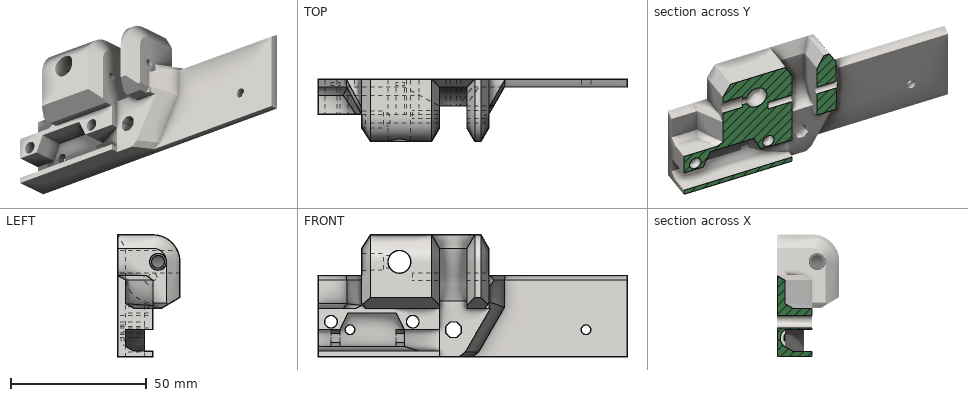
import cadquery as cq
import math


total_length = 113.8
total_depth = 23.0
total_height = 45.0
slope = math.tan(math.radians(30))

plate_thickness = 3.0
plate_height = 30.0
bevel_run = 3.0
bevel_rise = bevel_run * slope
plate_shoulder = plate_height - bevel_rise

rail_length = 44.7
rail_depth = 13.0
lip_height = 2.1
ledge_bottom = 10.0
ledge_top = 17.9
ramp_start = 31.8
mount_depth = 10.0

ear_radius = 10.0
rim_depth = 5.0
rim_width = 2.9
left_rim_width = 3.25
block_left = 16.0
block_right = rail_length
lug_left = 54.75
lug_right = 62.8
ear_slope_run = 6.8
ear_slope_rise = 4.0
underside_bevel_rise = 2.0
underside_bevel_run = 1.4

gusset_depth = rail_depth
left_gusset_run = 5.45
right_gusset_run = 5.75
gusset_top_inset = 1.4
gusset_overlap = 3.0

foot_bottom_x = 13.9
foot_top_x = 17.4
foot_skew = 0.67

mount_bevel_height = 1.84
mount_bevel_run = 2.4
mount_bottom_x = 51.8
mount_lean = math.tan(math.radians(35))
relief_radius = 9.2

axle_y = -13.0
axle_z = 29.5
axle_diameter = 2.9
axle_depth_in_block = 10.0
axle_head_diameter = 6.6
bore_x = 29.9
bore_z = total_height - ear_radius
bore_diameter = 8.3
cross_bore_y = -14.9
cross_bore_diameter = 6.2
cross_bore_depth = 8.0
cross_core_diameter = 4.7

small_hole_diameter = 3.5
small_hole_xs = (11.7, 98.6)
ledge_hole_diameter = 4.55
ledge_hole_xs = (4.7, 34.8)
ledge_hole_z = 12.95
octagon_width = 5.65
octagon_x = 49.8
octagon_sides = 8
fixing_z = ledge_bottom

recess_bottom_left = 8.0
recess_bottom_right = ramp_start
recess_top_left = 10.95
recess_top_right = 28.7
recess_top = 16.1
tie_width = 3.2
tie_xs = (4.75, recess_bottom_right - tie_width)
tie_center_y = -5.0
tie_center_z = 6.9
tie_outer_radius = 3.7
tie_inner_radius = 2.6


def side_prism(points, x_start, x_end):
    """Extrude a (y, z) outline along X."""
    outline = cq.Workplane("YZ", origin=(x_start, 0, 0)).polyline(points).close()
    return outline.extrude(x_end - x_start)


def front_prism(points, y_front, y_back=0.0):
    """Extrude an (x, z) outline along Y."""
    outline = cq.Workplane("XZ", origin=(0, y_back, 0)).polyline(points).close()
    return outline.extrude(y_back - y_front)


def slab(x_range, y_range, z_range):
    """Box given by its limits along each axis."""
    sizes = [end - start for start, end in (x_range, y_range, z_range)]
    corner = (x_range[0], y_range[0], z_range[0])
    return cq.Workplane("XY").box(*sizes, centered=False).translate(corner)


def cylinder_x(diameter, x_start, x_end, y, z):
    circle = cq.Workplane("YZ", origin=(x_start, y, z)).circle(diameter / 2)
    return circle.extrude(x_end - x_start)


def cylinder_y(diameter, x, z):
    """Cylinder through the full depth of the part."""
    circle = cq.Workplane("XZ", origin=(x, 0, z)).circle(diameter / 2)
    return circle.extrude(total_depth)


def ruled_loft(first, second):
    """Straight-sided solid between two closed outlines."""
    return cq.Workplane(obj=cq.Solid.makeLoft([first.val(), second.val()], True))


def plan_outline(points, z):
    """Closed (x, y) outline at a given height."""
    return cq.Workplane("XY", origin=(0, 0, z)).polyline(points).close()


def back_plate():
    profile = [
        (0, 0),
        (-plate_thickness, 0),
        (-plate_thickness, plate_shoulder),
        (0, plate_height),
    ]
    return side_prism(profile, 0, total_length)


def rail():
    """Lip, slot and ledge in one profile, with the ramp that closes the slot."""
    toe = -plate_thickness - bevel_run
    profile = [
        (0, 0),
        (-rail_depth, 0),
        (-rail_depth, lip_height),
        (toe, lip_height),
        (-plate_thickness, lip_height + bevel_rise),
        (-plate_thickness, ledge_bottom),
        (-rail_depth, ledge_bottom),
        (-rail_depth, ledge_top),
        (toe, ledge_top),
        (-plate_thickness, ledge_top + bevel_rise),
        (0, ledge_top + bevel_rise),
    ]
    ramp_plan = [
        (ramp_start, 0),
        (ramp_start, -plate_thickness),
        (rail_length, -mount_depth),
        (rail_length, 0),
    ]
    ramp = plan_outline(ramp_plan, 0).extrude(ledge_bottom)
    return side_prism(profile, 0, rail_length).union(ramp)


def ear_outline(x, inset):
    """Side outline of an ear with its top and front moved inwards by the inset."""
    radius = ear_radius - inset
    corner_y = ear_radius - total_depth
    corner_z = total_height - ear_radius
    diagonal = radius * math.sqrt(0.5)
    return (
        cq.Workplane("YZ", origin=(x, 0, 0))
        .moveTo(0, ledge_top)
        .lineTo(0, total_height - inset)
        .lineTo(corner_y, total_height - inset)
        .threePointArc((corner_y - diagonal, corner_z + diagonal), (corner_y - radius, corner_z))
        .lineTo(corner_y - radius, ledge_top)
        .close()
    )


def ear_rim(x_face, x_full):
    """Bevelled rim from the inset outline at a side face to the full outline."""
    return ruled_loft(ear_outline(x_face, rim_depth), ear_outline(x_full, 0))


def ear(x_left, left_rim, x_right, right_rim):
    full_left = x_left + left_rim
    full_right = x_right - right_rim
    body = ear_outline(full_left, 0).extrude(full_right - full_left)
    body = body.union(ear_rim(x_left, full_left)).union(ear_rim(x_right, full_right))
    underside = [
        (-total_depth, ledge_top),
        (-total_depth, ledge_top + ear_slope_rise),
        (ear_slope_run - total_depth, ledge_top),
    ]
    return body.cut(side_prism(underside, x_left, x_right))


def underside_bevel(x_face, inward):
    """Cutter for the lower edge of an ear's outer face, in front of the rail."""
    points = [
        (x_face, ledge_top),
        (x_face, ledge_top + underside_bevel_rise),
        (x_face + inward * underside_bevel_run, ledge_top),
    ]
    return front_prism(points, -total_depth, -rail_depth)


def gusset(x_face, run, outward):
    """Wedge in plan view from an ear's outer face to the plate, bevelled on top."""
    per_depth = run / (gusset_depth - plate_thickness)
    root_x = x_face + outward * per_depth * gusset_depth
    inset = outward * gusset_top_inset
    inside_x = x_face - outward * gusset_overlap
    wall = [(inside_x, 0), (root_x, 0), (x_face, -gusset_depth), (inside_x, -gusset_depth)]
    top = [
        (inside_x, 0),
        (root_x - inset, 0),
        (x_face - inset, -gusset_depth),
        (inside_x, -gusset_depth),
    ]
    lower = plan_outline(wall, ledge_top).extrude(plate_shoulder - ledge_top)
    bevel = ruled_loft(plan_outline(wall, plate_shoulder), plan_outline(top, plate_height))
    return lower.union(bevel)


def gusset_foot():
    """Sloped foot of the left gusset on the ledge."""
    skew = foot_skew * gusset_depth
    inside_x = block_left + gusset_overlap

    def outline(x_front, z):
        points = [
            (inside_x, 0),
            (x_front - skew, 0),
            (x_front, -gusset_depth),
            (inside_x, -gusset_depth),
        ]
        return plan_outline(points, z)

    lower = outline(foot_bottom_x, ledge_top)
    upper = outline(foot_top_x, ledge_top + bevel_rise)
    return ruled_loft(lower, upper)


def leaning_body():
    """Body whose right side leans with height and recedes towards the front."""

    def outline(y):
        bottom_x = mount_bottom_x + mount_lean * (y + mount_depth)
        bevel_x = bottom_x + mount_bevel_run
        top_x = bevel_x + slope * (plate_height - mount_bevel_height)
        points = [
            (block_right, 0),
            (bottom_x, 0),
            (bevel_x, mount_bevel_height),
            (top_x, plate_height),
            (block_right, plate_height),
        ]
        return cq.Workplane("XZ", origin=(0, y, 0)).polyline(points).close()

    return ruled_loft(outline(0), outline(-gusset_depth))


def mount():
    """Leaning block below the gap together with the right gusset."""
    block = slab((block_right, total_length), (-mount_depth, 0), (0, ledge_top))
    blank = block.union(gusset(lug_right, right_gusset_run, 1))
    return blank.intersect(leaning_body())


def gap_back():
    """Wall behind the gap, with a round relief on the axle side and a bevelled top."""
    relief_y = -plate_thickness - relief_radius
    front_offset = -mount_depth - relief_y
    relief_end_z = axle_z - math.sqrt(relief_radius**2 - front_offset**2)
    angle = math.atan2(relief_end_z - axle_z, front_offset) / 2
    middle = (relief_y + relief_radius * math.cos(angle), axle_z + relief_radius * math.sin(angle))
    profile = (
        cq.Workplane("YZ", origin=(block_right - rim_width, 0, 0))
        .moveTo(0, ledge_bottom)
        .lineTo(-mount_depth, ledge_bottom)
        .lineTo(-mount_depth, relief_end_z)
        .threePointArc(middle, (-plate_thickness, axle_z))
        .lineTo(-plate_thickness, total_height - rim_depth)
        .lineTo(0, total_height)
        .close()
    )
    return profile.extrude(lug_left - block_right + 2 * rim_width)


def ledge_recess():
    points = [
        (recess_bottom_left, ledge_bottom),
        (recess_top_left, recess_top),
        (recess_top_right, recess_top),
        (recess_bottom_right, ledge_bottom),
    ]
    return front_prism(points, -rail_depth, -plate_thickness)


def tie_channel(x):
    """Curved channel that dips into the plate behind the slot."""
    ring = (
        cq.Workplane("YZ", origin=(x, tie_center_y, tie_center_z))
        .circle(tie_outer_radius)
        .circle(tie_inner_radius)
        .extrude(tie_width)
    )
    behind_slot = slab((x, x + tie_width), (-plate_thickness, 0), (0, ledge_bottom))
    return ring.intersect(behind_slot)


def axle_hole():
    """Blind in the block, through the lug, with head clearance outside the lug."""
    pin = cylinder_x(axle_diameter, block_right - axle_depth_in_block, lug_right, axle_y, axle_z)
    head = cylinder_x(axle_head_diameter, lug_right, lug_right + right_gusset_run, axle_y, axle_z)
    return pin.union(head)


def cross_bore():
    """Stepped bore from the left face of the block into the main bore."""
    wide = cylinder_x(cross_bore_diameter, block_left, block_left + cross_bore_depth, cross_bore_y, bore_z)
    core = cylinder_x(cross_core_diameter, block_left, bore_x, cross_bore_y, bore_z)
    return wide.union(core)


def octagon_hole():
    half_step = 180 / octagon_sides
    across_corners = octagon_width / math.cos(math.radians(half_step))
    outline = cq.Workplane("XZ", origin=(octagon_x, 0, fixing_z)).polygon(octagon_sides, across_corners)
    prism = outline.extrude(total_depth)
    axis_start = (octagon_x, 0, fixing_z)
    axis_end = (octagon_x, -1, fixing_z)
    return prism.rotate(axis_start, axis_end, half_step)


block = ear(block_left, left_rim_width, block_right, rim_width)
block = block.cut(underside_bevel(block_left, 1))
lug = ear(lug_left, rim_width, lug_right, rim_width)
lug = lug.cut(underside_bevel(lug_right, -1))

result = (
    back_plate()
    .union(rail())
    .union(block)
    .union(lug)
    .union(gap_back())
    .union(mount())
    .union(gusset(block_left, left_gusset_run, -1))
    .union(gusset_foot())
)
result = result.cut(ledge_recess()).cut(octagon_hole()).cut(axle_hole()).cut(cross_bore())
result = result.cut(cylinder_y(bore_diameter, bore_x, bore_z))
for hole_x in small_hole_xs:
    result = result.cut(cylinder_y(small_hole_diameter, hole_x, fixing_z))
for hole_x in ledge_hole_xs:
    result = result.cut(cylinder_y(ledge_hole_diameter, hole_x, ledge_hole_z))
for channel_x in tie_xs:
    result = result.cut(tie_channel(channel_x))